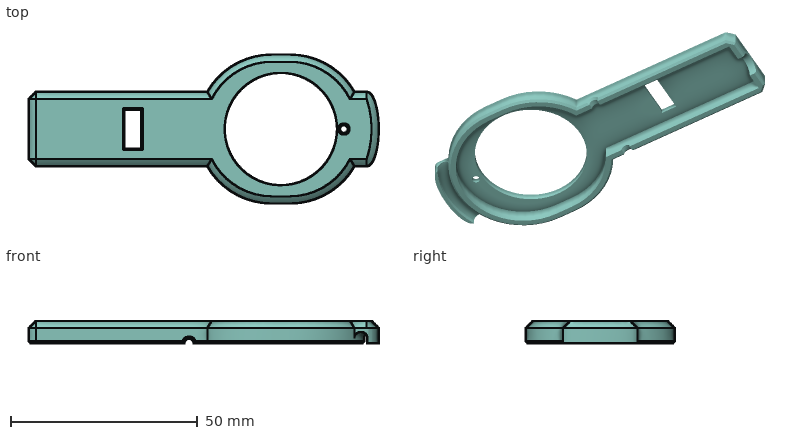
import cadquery as cq

LENGTH = 93.9
HEIGHT = 6.0
WALL = 2.0
TOP_CHAMFER = 2.0
BOTTOM_CHAMFER = 0.6

ARM_WIDTH = 20.0

RING_X = 67.6
RING_RADIUS = 20.0
RING_FLAT = 4.8
BORE_RADIUS = 15.0

TIP_REACH = 3.3
TIP_X = LENGTH - TIP_REACH

GROOVE_RADIUS = 1.5

WINDOW_X = 28.0
WINDOW_LENGTH = 4.4
WINDOW_WIDTH = 10.3

HOLE_X = 84.5
HOLE_RADIUS = 1.0
RIM_CHAMFER = 0.5

END_NOTCH_RADIUS = 3.2
SIDE_NOTCH_RADIUS = 1.2
SIDE_NOTCH_X = 43.0

PLATE_BOTTOM = HEIGHT - WALL
BEVEL_START = HEIGHT - TOP_CHAMFER


def ring_slot(radius, height):
    """Slot around the ring axis, standing on z = 0."""
    return (
        cq.Workplane("XY")
        .center(RING_X, 0)
        .slot2D(RING_FLAT + 2 * radius, 2 * radius)
        .extrude(height)
    )


def make_ring():
    ring = ring_slot(RING_RADIUS, HEIGHT)
    ring = ring.faces(">Z").edges().chamfer(TOP_CHAMFER)
    return ring.faces("<Z").edges().chamfer(BOTTOM_CHAMFER)


def make_arm():
    arm = cq.Workplane("XY").box(RING_X, ARM_WIDTH, HEIGHT, centered=(False, True, False))
    arm = arm.edges("(<X and |Z) or (>Z and (not >X))").chamfer(TOP_CHAMFER)
    return arm.faces("<Z").edges("not >X").chamfer(BOTTOM_CHAMFER)


def tab_sides(tab_plane, half_width):
    """Straight three sides of the tab, ending where the curved tip begins."""
    return (
        tab_plane.moveTo(TIP_X, half_width)
        .lineTo(RING_X, half_width)
        .lineTo(RING_X, -half_width)
        .lineTo(TIP_X, -half_width)
    )


def tab_outline(z):
    """Full tab outline with its half-ellipse tip, at height z."""
    half_width = ARM_WIDTH / 2
    sides = tab_sides(cq.Workplane("XY", origin=(0, 0, z)), half_width)
    return sides.ellipseArc(TIP_REACH, half_width, -90, 90, startAtCurrent=True).close()


def make_tab():
    base = tab_outline(0).extrude(BEVEL_START)

    top_half_width = ARM_WIDTH / 2 - TOP_CHAMFER
    bevel = tab_outline(BEVEL_START)
    bevel = tab_sides(bevel.workplane(offset=TOP_CHAMFER, origin=(0, 0, 0)), top_half_width)
    bevel = bevel.threePointArc((LENGTH - TOP_CHAMFER, 0), (TIP_X, top_half_width)).close()
    return base.union(bevel.loft(ruled=True))


def make_groove():
    """Round-topped groove in the tab that follows the outside of the ring's end arc."""
    channel = ring_slot(RING_RADIUS + 2 * GROOVE_RADIUS, GROOVE_RADIUS)
    arch_centre = cq.Vector(RING_X + RING_FLAT / 2, 0, GROOVE_RADIUS)
    arch = cq.Solid.makeTorus(RING_RADIUS + GROOVE_RADIUS, GROOVE_RADIUS, arch_centre)
    return channel.union(cq.Workplane(obj=arch))


def make_cavity():
    """Hollow under the plate, following the arm and the ring one wall inside."""
    arm_hollow = cq.Workplane("XY").box(
        RING_X - WALL, ARM_WIDTH - 2 * WALL, PLATE_BOTTOM, centered=(False, True, False)
    )
    return ring_slot(RING_RADIUS - WALL, PLATE_BOTTOM).union(arm_hollow.translate((WALL, 0, 0)))


def make_bore():
    return cq.Workplane("XY").center(RING_X, 0).circle(BORE_RADIUS).extrude(HEIGHT)


def make_window():
    window = cq.Workplane("XY").rect(WINDOW_LENGTH, WINDOW_WIDTH).extrude(HEIGHT - RIM_CHAMFER)
    flare = window.faces(">Z").workplane().rect(WINDOW_LENGTH, WINDOW_WIDTH)
    return flare.extrude(RIM_CHAMFER, taper=-45).translate((WINDOW_X, 0, 0))


def make_screw_hole():
    hole = cq.Workplane("XY").circle(HOLE_RADIUS).extrude(HEIGHT - RIM_CHAMFER)
    flare = hole.faces(">Z").workplane().circle(HOLE_RADIUS)
    return flare.extrude(RIM_CHAMFER, taper=-45).translate((HOLE_X, 0, 0))


def make_end_notch():
    return cq.Workplane("YZ").circle(END_NOTCH_RADIUS).extrude(WALL)


def make_side_notch():
    """Round notch across both side walls, bevelled where it meets their outer faces."""
    half_notch = cq.Workplane("XZ").circle(SIDE_NOTCH_RADIUS).extrude(ARM_WIDTH / 2 - BOTTOM_CHAMFER)
    half_notch = half_notch.faces("<Y").workplane().circle(SIDE_NOTCH_RADIUS)
    half_notch = half_notch.extrude(BOTTOM_CHAMFER, taper=-45)
    return half_notch.union(half_notch.mirror("XZ")).translate((SIDE_NOTCH_X, 0, 0))


result = (
    make_tab()
    .cut(make_groove())
    .union(make_ring())
    .union(make_arm())
    .cut(make_cavity())
    .cut(make_bore())
    .cut(make_window())
    .cut(make_screw_hole())
    .cut(make_end_notch())
    .cut(make_side_notch())
)